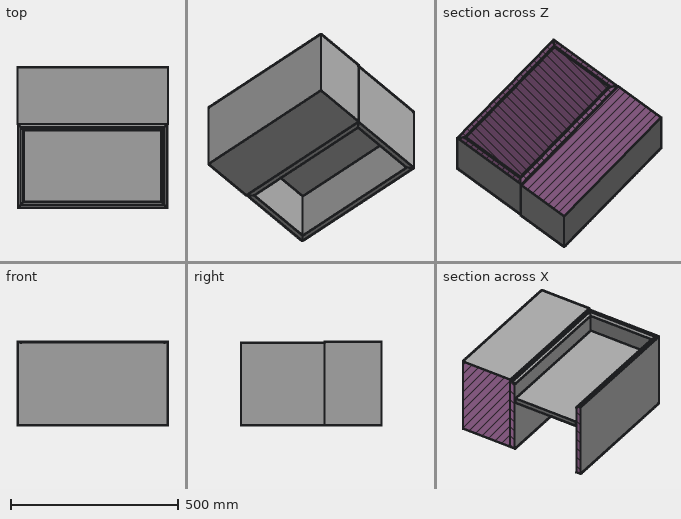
import cadquery as cq

cabinet_width = 450.0
cabinet_depth = 170.0
cabinet_height = 250.0

tray_inset_left = 1.0
tray_inset_right = 2.0
tray_inset_top = 3.0
tray_depth = 250.0
tray_left = tray_inset_left
tray_right = cabinet_width - tray_inset_right
tray_width = tray_right - tray_left
tray_height = cabinet_height - tray_inset_top

wall_thickness = 16.0
rim_width = 8.0
bevel_height = wall_thickness - rim_width

floor_gap = 2.0
floor_drop = 60.0
floor_thickness = wall_thickness
floor_top = tray_height - floor_drop


def make_cabinet():
    """Plain block with its lower left front corner at the origin."""
    return cq.Workplane("XY").box(cabinet_width, cabinet_depth, cabinet_height, centered=False)


def make_wall(length):
    """Wall along +X with its outer face on Y = 0, a bevelled inner top edge and mitred ends."""
    section = [
        (0, 0),
        (wall_thickness, 0),
        (wall_thickness, tray_height - bevel_height),
        (rim_width, tray_height),
        (0, tray_height),
    ]
    mitred_plan = [
        (0, 0),
        (length, 0),
        (length - wall_thickness, wall_thickness),
        (wall_thickness, wall_thickness),
    ]
    bar = cq.Workplane("YZ").polyline(section).close().extrude(length)
    mitred_block = cq.Workplane("XY").polyline(mitred_plan).close().extrude(tray_height)
    return bar.intersect(mitred_block)


def make_walls():
    """Front, right, back and left walls, each a quarter turn on from the one before."""
    starts = [
        (tray_left, -tray_depth, tray_width),
        (tray_right, -tray_depth, tray_depth),
        (tray_right, 0, tray_width),
        (tray_left, 0, tray_depth),
    ]
    walls = []
    for quarter_turns, (x, y, length) in enumerate(starts):
        wall = make_wall(length).rotate((0, 0, 0), (0, 0, 1), 90 * quarter_turns)
        walls.append(wall.translate((x, y, 0)))
    return walls


def make_floor():
    """Panel lying between the walls with an even gap all round."""
    inset = wall_thickness + floor_gap
    panel = cq.Workplane("XY").box(
        tray_width - 2 * inset,
        tray_depth - 2 * inset,
        floor_thickness,
        centered=False,
    )
    return panel.translate((tray_left + inset, inset - tray_depth, floor_top - floor_thickness))


cabinet = make_cabinet()
tray_walls = make_walls()
tray_floor = make_floor()

result = cq.Compound.makeCompound(
    [cabinet.val(), *[wall.val() for wall in tray_walls], tray_floor.val()]
)